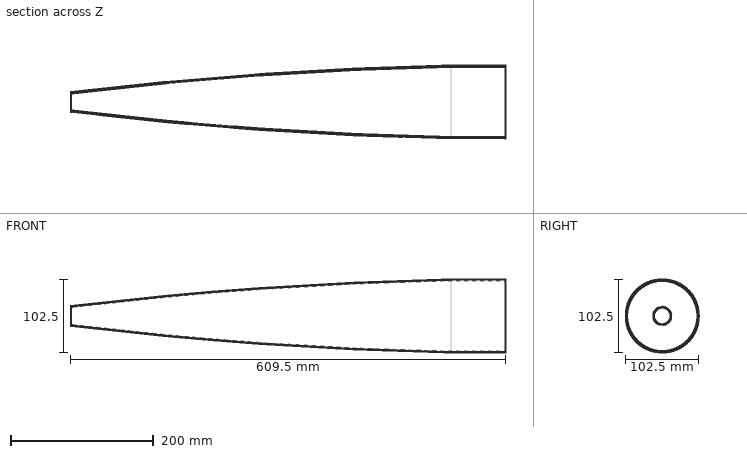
import cadquery as cq

length = 609.5
collar_length = 77.0
collar_radius = 102.5 / 2
bore_radius = 99.0 / 2
tip_radius = 27.5 / 2
taper_bulge = 7.0

wall = collar_radius - bore_radius
tip_x = -length / 2
base_x = length / 2
collar_x = base_x - collar_length


def solid_nozzle(inset):
    """Revolve the outer profile, moved radially inward by inset, about X."""
    tip = tip_radius - inset
    collar = collar_radius - inset
    taper_middle = ((tip_x + collar_x) / 2, (tip + collar) / 2 + taper_bulge)
    return (
        cq.Workplane("XY")
        .moveTo(tip_x, 0)
        .lineTo(tip_x, tip)
        .threePointArc(taper_middle, (collar_x, collar))
        .lineTo(base_x, collar)
        .lineTo(base_x, 0)
        .close()
        .revolve(360, (0, 0, 0), (1, 0, 0))
    )


result = solid_nozzle(0).cut(solid_nozzle(wall))